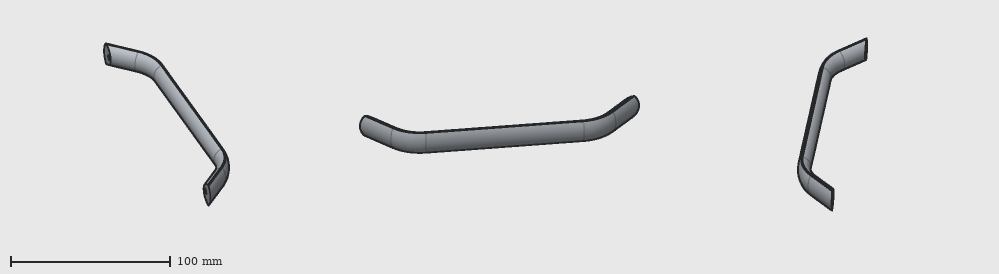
import cadquery as cq
import math

LENGTH = 177.0
STANDOFF = 26.0
HEIGHT = 15.0

BACK_BULGE = 2.1
EDGE_FLAT = 0.9
FRONT_BULGE = 5.1

LEG_ANGLE = math.radians(45)
BEND_RADIUS = 30.1

HOLE_SPACING = 160.0
HOLE_DIAMETER = 3.5
HOLE_DEPTH = 5.0
HOLE_TIP_ANGLE = math.radians(118)

bend_dx = BEND_RADIUS * math.sin(LEG_ANGLE)
bend_drop = BEND_RADIUS * (1 - math.cos(LEG_ANGLE))
leg_dx = (STANDOFF - bend_drop) / math.tan(LEG_ANGLE)
straight_half = LENGTH / 2 - bend_dx - leg_dx

OVERRUN = 2 * (BACK_BULGE + EDGE_FLAT + FRONT_BULGE)


def make_half_bar():
    """Sweep the section from mid-length to the +X foot."""
    half_bend = LEG_ANGLE / 2
    bend_middle = (
        straight_half + BEND_RADIUS * math.sin(half_bend),
        STANDOFF - BEND_RADIUS * (1 - math.cos(half_bend)),
    )
    bend_end = (straight_half + bend_dx, STANDOFF - bend_drop)
    leg_end = (LENGTH / 2 + OVERRUN / math.tan(LEG_ANGLE), -OVERRUN)
    path = (
        cq.Workplane("XY")
        .moveTo(0, STANDOFF)
        .lineTo(straight_half, STANDOFF)
        .threePointArc(bend_middle, bend_end)
        .lineTo(*leg_end)
    )

    back_edge = STANDOFF - BACK_BULGE
    front_edge = back_edge - EDGE_FLAT
    half_height = HEIGHT / 2
    section = (
        cq.Workplane("YZ")
        .moveTo(back_edge, -half_height)
        .threePointArc((STANDOFF, 0), (back_edge, half_height))
        .lineTo(front_edge, half_height)
        .threePointArc((front_edge - FRONT_BULGE, 0), (front_edge, -half_height))
        .close()
    )
    return section.sweep(path)


def make_hole(x):
    """Drilled hole entering the foot along +Y."""
    radius = HOLE_DIAMETER / 2
    tip_depth = HOLE_DEPTH + radius / math.tan(HOLE_TIP_ANGLE / 2)
    return (
        cq.Workplane("XY")
        .moveTo(0, 0)
        .lineTo(radius, 0)
        .lineTo(radius, HOLE_DEPTH)
        .lineTo(0, tip_depth)
        .close()
        .revolve(360, (0, 0, 0), (0, 1, 0))
        .translate((x, 0, 0))
    )


half_bar = make_half_bar()
bar = half_bar.union(half_bar.mirror("YZ"))

trim_length = LENGTH + 4 * OVERRUN
trim = cq.Workplane("XY").box(trim_length, 2 * OVERRUN, 2 * HEIGHT).translate((0, -OVERRUN, 0))
result = bar.cut(trim)

for side in (-1, 1):
    result = result.cut(make_hole(side * HOLE_SPACING / 2))